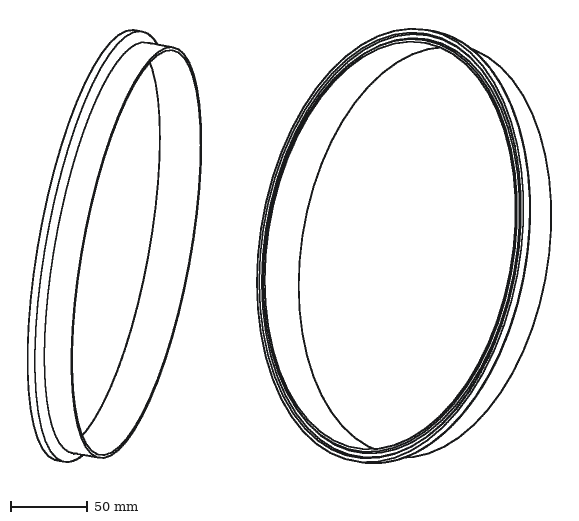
import cadquery as cq
import math

length = 28.0
flange_radius = 143.0
tube_radius = 136.5
bore_radius = 134.5

rim_width = 5.7
back_angle = 20.0
rim_fillet = 1.0
root_fillet = 2.0
root_x = rim_width + (flange_radius - tube_radius) * math.tan(math.radians(back_angle))

groove_outer_radius = 140.5
groove_inner_radius = 136.2
groove_wall_run = 1.0
groove_depth = 1.5


def revolve_about_x(points):
    """Revolve a closed outline of (x, radius) points about the X axis."""
    return cq.Workplane("XY").polyline(points).close().revolve(360, (0, 0, 0), (1, 0, 0))


def circle_edges_at(x):
    """Select circles whose centres lie on the ring axis at the given X."""
    reach = 0.15
    return cq.selectors.BoxSelector((x - reach, -reach, -reach), (x + reach, reach, reach))


ring = revolve_about_x([
    (0, bore_radius),
    (0, flange_radius),
    (rim_width, flange_radius),
    (root_x, tube_radius),
    (length, tube_radius),
    (length, bore_radius),
])

ring = ring.edges(circle_edges_at(root_x)).fillet(root_fillet)
ring = ring.edges(circle_edges_at(rim_width)).fillet(rim_fillet)

groove = revolve_about_x([
    (0, groove_inner_radius),
    (groove_depth, groove_inner_radius + groove_wall_run),
    (groove_depth, groove_outer_radius - groove_wall_run),
    (0, groove_outer_radius),
])

result = ring.cut(groove)